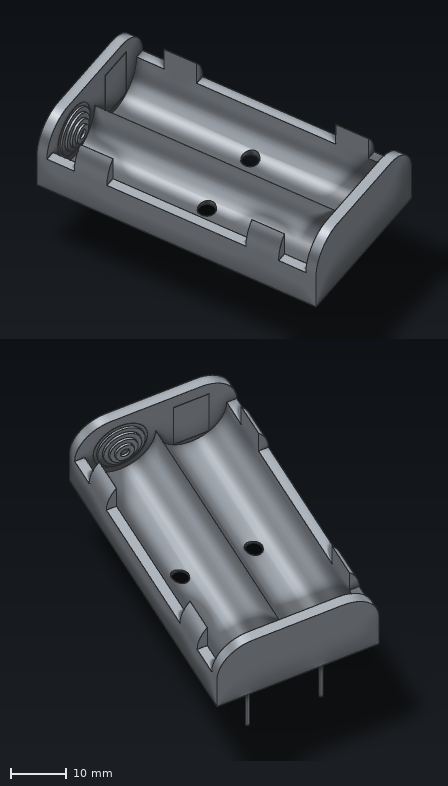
import cadquery as cq
import math

LENGTH = 59.5
WIDTH = 32.9
RIM_HEIGHT = 7.7
END_HEIGHT = 15.0
END_THICKNESS = 2.15
CORNER_RADIUS = END_HEIGHT - RIM_HEIGHT

CELL_RADIUS = 7.2
RIDGE_DROP = 0.2
CELL_OFFSET = math.sqrt(CELL_RADIUS**2 - RIDGE_DROP**2)
CELL_LENGTH = LENGTH - 2 * END_THICKNESS
RIM_WIDTH = WIDTH / 2 - CELL_OFFSET - CELL_RADIUS
INNER_END = CELL_LENGTH / 2

CLIP_LENGTH = 6.95
CLIP_END_DISTANCE = 8.0
CLIP_CENTRE = LENGTH / 2 - CLIP_END_DISTANCE - CLIP_LENGTH / 2

ROW_CENTRE = 1.5
ROW_PITCH = 14.95
ROWS = [ROW_CENTRE - ROW_PITCH / 2, ROW_CENTRE + ROW_PITCH / 2]
HOLE_DIAMETER = 3.45

PIN_DIAMETER = 0.8
PIN_LENGTH = 12.0
PIN_X = -27.15
PIN_TIP_CHAMFER = 0.2

SPRING_DIAMETERS = [9.65, 7.75, 5.8, 3.85]
SPRING_BORE = 1.9
SPRING_STEP = 0.5
SPRING_Z = 7.25

BASE_DIAMETER = 11.0
BASE_THICKNESS = 0.05

PLATE_WIDTH = 7.2
PLATE_THICKNESS = 0.05
PLATE_BOTTOM = 1.55
PLATE_TOP = 12.1

NUB_DIAMETER = 0.02
NUB_HEIGHT = 0.02


def make_end_wall(start_x):
    """End wall with both upper corners rounded."""
    return (
        cq.Workplane("YZ", origin=(start_x, 0, 0))
        .rect(WIDTH, 2 * END_HEIGHT)
        .extrude(END_THICKNESS)
        .edges("|X and >Z")
        .fillet(CORNER_RADIUS)
        .intersect(cq.Workplane().box(2 * LENGTH, WIDTH, END_HEIGHT, centered=(True, True, False)))
    )


def make_clip(centre_x, side):
    """Clip with a flat inner face and an outer arc that leans in over the cell."""
    arc_centre = WIDTH / 2 - CORNER_RADIUS
    inner_y = WIDTH / 2 - RIM_WIDTH
    tip_angle = math.acos((inner_y - arc_centre) / CORNER_RADIUS)
    tip_z = RIM_HEIGHT + CORNER_RADIUS * math.sin(tip_angle)
    mid_y = arc_centre + CORNER_RADIUS * math.cos(tip_angle / 2)
    mid_z = RIM_HEIGHT + CORNER_RADIUS * math.sin(tip_angle / 2)
    return (
        cq.Workplane("YZ", origin=(centre_x - CLIP_LENGTH / 2, 0, 0))
        .moveTo(side * inner_y, RIM_HEIGHT)
        .lineTo(side * WIDTH / 2, RIM_HEIGHT)
        .threePointArc((side * mid_y, mid_z), (side * inner_y, tip_z))
        .close()
        .extrude(CLIP_LENGTH)
    )


def make_housing():
    """Tray with two troughs, rounded end walls, four clips and two floor holes."""
    body = cq.Workplane().box(LENGTH, WIDTH, RIM_HEIGHT, centered=(True, True, False))
    for trough_y in (-CELL_OFFSET, CELL_OFFSET):
        trough = (
            cq.Workplane("YZ", origin=(-INNER_END, trough_y, RIM_HEIGHT))
            .circle(CELL_RADIUS)
            .extrude(CELL_LENGTH)
        )
        body = body.cut(trough)
    holes = (
        cq.Workplane()
        .pushPoints([(0, y) for y in ROWS])
        .circle(HOLE_DIAMETER / 2)
        .extrude(RIM_HEIGHT)
    )
    body = body.cut(holes)
    for start_x in (-LENGTH / 2, INNER_END):
        body = body.union(make_end_wall(start_x))
    for centre_x in (-CLIP_CENTRE, CLIP_CENTRE):
        for side in (-1, 1):
            body = body.union(make_clip(centre_x, side))
    return body


def make_pin(y):
    """Solder pin hanging from the underside, with a chamfered tip."""
    return (
        cq.Workplane(origin=(PIN_X, y, -PIN_LENGTH))
        .circle(PIN_DIAMETER / 2)
        .extrude(PIN_LENGTH)
        .faces("<Z")
        .chamfer(PIN_TIP_CHAMFER)
    )


def place_on_end(body, end):
    """Turn a body built along +X from the origin inward at the chosen end of its trough."""
    if end > 0:
        body = body.mirror("YZ")
    return body.translate((end * INNER_END, end * CELL_OFFSET, SPRING_Z))


def make_base(end):
    """Round base disc flat against the end wall; end is -1 or 1 along X."""
    base = cq.Workplane("YZ").circle(BASE_DIAMETER / 2).extrude(BASE_THICKNESS)
    return place_on_end(base, end)


def make_spring(end):
    """Stepped spring on its base, narrowing inward, with a recess one step deep in its tip."""
    tip = len(SPRING_DIAMETERS) * SPRING_STEP
    profile = cq.Workplane("XY").moveTo(BASE_THICKNESS, 0)
    step_start = BASE_THICKNESS
    for step, diameter in enumerate(SPRING_DIAMETERS, start=1):
        profile = profile.lineTo(step_start, diameter / 2)
        step_start = step * SPRING_STEP
        profile = profile.lineTo(step_start, diameter / 2)
    profile = (
        profile.lineTo(tip, SPRING_BORE / 2)
        .lineTo(tip - SPRING_STEP, SPRING_BORE / 2)
        .lineTo(tip - SPRING_STEP, 0)
        .close()
    )
    spring = profile.revolve(360, (0, 0, 0), (1, 0, 0))
    return place_on_end(spring, end)


def make_plate(end):
    """Flat contact on the end wall, in the trough that has no spring at that end."""
    centre_x = end * (INNER_END - PLATE_THICKNESS / 2)
    centre_z = (PLATE_TOP + PLATE_BOTTOM) / 2
    plate = cq.Workplane().box(PLATE_THICKNESS, PLATE_WIDTH, PLATE_TOP - PLATE_BOTTOM)
    return plate.translate((centre_x, -end * CELL_OFFSET, centre_z))


housing = make_housing()
pins = [make_pin(y) for y in ROWS]
springs = [make_spring(end) for end in (-1, 1)]
bases = [make_base(end) for end in (-1, 1)]
plates = [make_plate(end) for end in (-1, 1)]
nub = cq.Workplane().circle(NUB_DIAMETER / 2).extrude(-NUB_HEIGHT)

bodies = [housing, *pins, *springs, *bases, *plates, nub]
result = cq.Compound.makeCompound([solid for body in bodies for solid in body.solids().vals()])